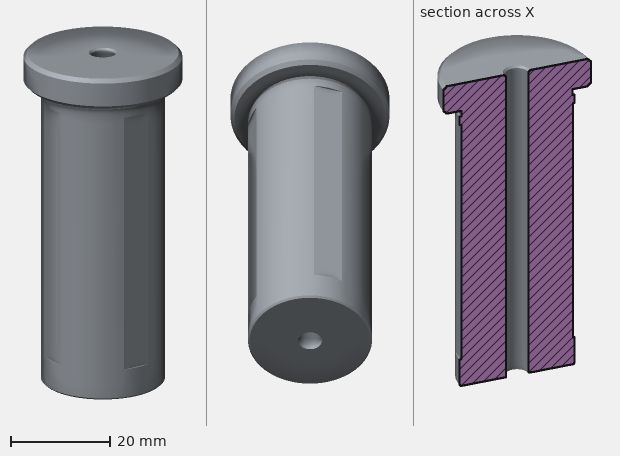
import cadquery as cq

total_length = 69.85

head_diameter = 32.0
head_height = 6.4
head_chamfer = 0.8

shank_diameter = 25.0
shank_end_chamfer = 0.35
groove_diameter = 24.2
groove_width = 1.2

flat_count = 4
flat_across = 24.3
flat_bottom = 6.3
flat_top = 60.2

hole_diameter = 4.8
hole_chamfer = 0.4

shank_length = total_length - head_height


def make_head():
    head = cq.Workplane("XY").workplane(offset=shank_length).circle(head_diameter / 2).extrude(head_height)
    return head.edges("%CIRCLE").chamfer(head_chamfer)


def make_shank():
    shank_top = shank_length - groove_width
    shank = cq.Workplane("XY").circle(shank_diameter / 2).extrude(shank_top)
    shank = shank.faces("<Z").edges().chamfer(shank_end_chamfer)
    groove = cq.Workplane("XY").workplane(offset=shank_top).circle(groove_diameter / 2).extrude(groove_width)
    return shank.union(groove)


def make_flat_cutter(angle):
    """Block whose inner face lies on one flat of the shank."""
    block = cq.Workplane("XY").box(
        shank_diameter, shank_diameter, flat_top - flat_bottom, centered=(False, True, False)
    )
    return block.translate((flat_across / 2, 0, flat_bottom)).rotate((0, 0, 0), (0, 0, 1), angle)


def make_hole_cutter():
    """Bore with a conical lead-in at the head face."""
    radius = hole_diameter / 2
    mouth_radius = radius + hole_chamfer
    profile = cq.Workplane("XZ").polyline([
        (0, 0),
        (radius, 0),
        (radius, total_length - hole_chamfer),
        (mouth_radius, total_length),
        (0, total_length),
    ]).close()
    return profile.revolve(360, (0, 0, 0), (0, 1, 0))


shank = make_shank()
for index in range(flat_count):
    shank = shank.cut(make_flat_cutter(index * 360 / flat_count))

result = make_head().union(shank).cut(make_hole_cutter())